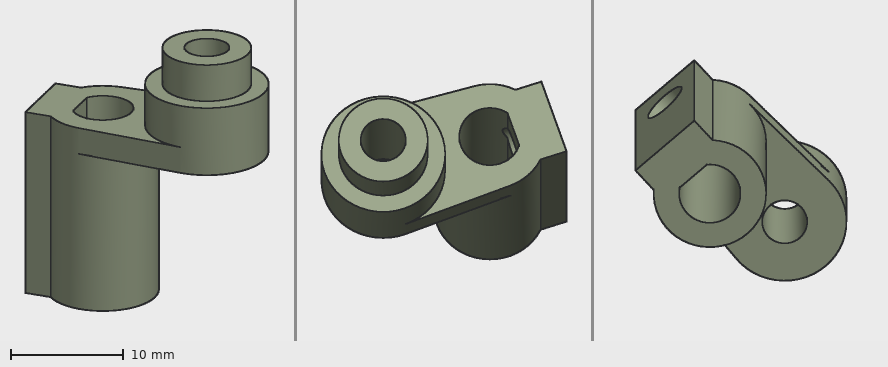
import cadquery as cq
import math

post_radius = 5.0
block_width = 7.0
block_reach = 6.01

bore_diameter = 5.45
bore_flat_distance = 2.2

screw_hole_diameter = 4.0
screw_hole_height = 12.5

arm_length = 10.0
arm_bottom = 15.0
arm_thickness = 2.5
boss_diameter = 11.0
boss_height = 4.0
pin_diameter = 7.9
pin_height = 3.5
pin_bore_diameter = 4.0

arm_top = arm_bottom + arm_thickness
boss_top = arm_top + boss_height
boss_radius = boss_diameter / 2
pin_top = boss_top + pin_height


def cylinder(x, bottom, top, diameter):
    """Vertical cylinder on the X axis line, between two heights."""
    return (
        cq.Workplane("XY", origin=(x, 0, bottom))
        .circle(diameter / 2)
        .extrude(top - bottom)
    )


def make_post():
    """Round post merged with its rectangular clamping block."""
    post = cylinder(0, 0, arm_top, 2 * post_radius)
    block = cq.Workplane("XY").box(block_reach, block_width, arm_top, centered=(False, True, False))
    return post.union(block.translate((-block_reach, 0, 0)))


def make_arm():
    """Tapered arm: two round ends joined by their common tangents."""
    taper = math.asin((boss_radius - post_radius) / arm_length)
    post_x = -post_radius * math.sin(taper)
    post_y = post_radius * math.cos(taper)
    boss_x = arm_length - boss_radius * math.sin(taper)
    boss_y = boss_radius * math.cos(taper)
    return (
        cq.Workplane("XY", origin=(0, 0, arm_bottom))
        .moveTo(post_x, -post_y)
        .lineTo(boss_x, -boss_y)
        .threePointArc((arm_length + boss_radius, 0), (boss_x, boss_y))
        .lineTo(post_x, post_y)
        .threePointArc((-post_radius, 0), (post_x, -post_y))
        .close()
        .extrude(arm_thickness)
    )


def make_boss():
    """Shoulder with a smaller pin on top."""
    shoulder = cylinder(arm_length, arm_top, boss_top, boss_diameter)
    pin = cylinder(arm_length, boss_top, pin_top, pin_diameter)
    return shoulder.union(pin)


def make_d_bore():
    """Cutter for the bore, flattened on the side facing the block."""
    flat_limit = cq.Workplane("XY").box(
        bore_diameter, bore_diameter, arm_top, centered=(False, True, False)
    )
    round_bore = cylinder(0, 0, arm_top, bore_diameter)
    return round_bore.intersect(flat_limit.translate((-bore_flat_distance, 0, 0)))


def make_screw_hole():
    """Cutter for the cross hole, ending at the bore axis."""
    return (
        cq.Workplane("YZ", origin=(-block_reach, 0, screw_hole_height))
        .circle(screw_hole_diameter / 2)
        .extrude(block_reach)
    )


result = (
    make_post()
    .union(make_arm())
    .union(make_boss())
    .cut(make_d_bore())
    .cut(make_screw_hole())
    .cut(cylinder(arm_length, arm_bottom, pin_top, pin_bore_diameter))
)